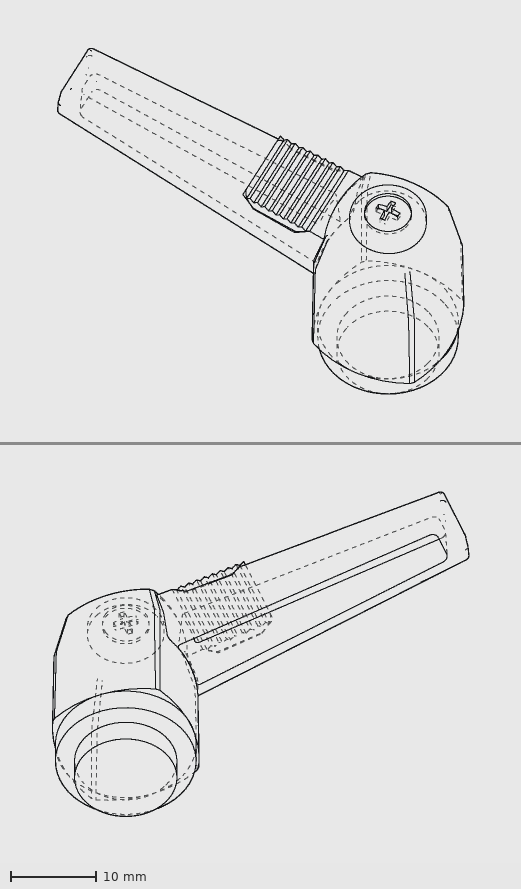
import cadquery as cq
import math

spigot_diameter = 12.0
spigot_height = 3.0
collar_diameter = 16.5
collar_height = 3.0
body_bottom = spigot_height + collar_height

parting_height = 19.35
parting_slope = math.tan(math.radians(12.15))
body_top_height = 25.87
body_top_slope = math.tan(math.radians(2.0))
lever_top_height = 23.96
lever_top_slope = math.tan(math.radians(9.5))
lever_bottom_height = 14.94
lever_bottom_slope = math.tan(math.radians(14.3))

body_top_fillet = 0.5

cap_diameter = 9.0
cap_edge_height = 27.3
cap_edge_fillet = 0.4
cap_crown_height = 27.8
screw_diameter = 5.5
screw_seat_depth = 0.5
screw_top = 28.45
cross_length = 2.8
cross_width = 0.6
cross_depth = 1.0

tip_bottom_x = -41.945
tip_lean = math.tan(math.radians(7.3))
lever_root_x = -4.0
lever_half_width = 5.88
lever_taper = 0.0444
upper_draft = math.tan(math.radians(7.5))
lower_draft = math.tan(math.radians(8.5))
lever_top_fillet = 1.0
lever_corner_fillet = 0.5
lever_bottom_fillet = 0.65

channel_start_x = -39.8
channel_roof_depth = 1.85
channel_half_width = 3.57
channel_taper = 0.0346
channel_draft = math.tan(math.radians(7.7))
channel_tip_fillet = 0.8
channel_end_fillet = 0.4
channel_end_reach = 8.05
channel_end_bow_radius = 14.2

grip_start_x = -16.67
grip_end_x = -7.76
grip_floor_start_x = -15.25
grip_floor_end_x = -9.65
grip_depth = 1.6
grip_half_width = 5.1
grip_taper = 0.018
tooth_count = 8
tooth_pitch = 0.985
tooth_height = 0.45
first_valley_x = -16.2


def parting_z(x):
    return parting_height - parting_slope * x


def body_top_z(x):
    return body_top_height - body_top_slope * x


def lever_top_z(x):
    return lever_top_height - lever_top_slope * x


def lever_bottom_z(x):
    return lever_bottom_height - lever_bottom_slope * x


def base():
    spigot = cq.Workplane("XY").circle(spigot_diameter / 2).extrude(body_bottom)
    collar = (
        cq.Workplane("XY")
        .workplane(offset=spigot_height)
        .circle(collar_diameter / 2)
        .extrude(collar_height)
    )
    return spigot.union(collar)


def body_outline(left, right, side, corner_long, corner_short, height):
    """Closed outline of four bowed sides joined by short corner flats.

    left, right and side are the reaches of the bowed sides at mid-span. Each corner runs from
    (corner_short, corner_long) to (corner_long, corner_short).
    """

    def point(x, y):
        return cq.Vector(x, y, height(x))

    def bow(start, middle, end):
        return cq.Edge.makeThreePointArc(point(*start), point(*middle), point(*end))

    def flat(start, end):
        return cq.Edge.makeLine(point(*start), point(*end))

    a, b = corner_long, corner_short
    edges = [
        bow((a, -b), (right, 0), (a, b)),
        flat((a, b), (b, a)),
        bow((b, a), (0, side), (-b, a)),
        flat((-b, a), (-a, b)),
        bow((-a, b), (-left, 0), (-a, -b)),
        flat((-a, -b), (-b, -a)),
        bow((-b, -a), (0, -side), (b, -a)),
        flat((b, -a), (a, -b)),
    ]
    return cq.Wire.assembleEdges(edges)


def body():
    outlines = [
        body_outline(8.2, 8.12, 8.25, 6.75, 6.35, lambda x: body_bottom),
        body_outline(7.95, 7.87, 8.22, 6.66, 6.15, parting_z),
        body_outline(6.45, 6.62, 6.53, 5.5, 5.05, body_top_z),
    ]
    solid = cq.Workplane(cq.Solid.makeLoft(outlines, True))
    return solid.faces(">Z").edges().fillet(body_top_fillet)


def cap():
    radius = cap_diameter / 2
    screw_radius = screw_diameter / 2
    crown = (
        cq.Workplane("XZ")
        .moveTo(0, parting_height)
        .lineTo(radius, parting_height)
        .lineTo(radius, cap_edge_height)
        .lineTo(screw_radius, cap_crown_height)
        .lineTo(0, cap_crown_height)
        .close()
        .revolve(360, (0, 0, 0), (0, 1, 0))
    )
    rim = cq.selectors.NearestToPointSelector((0, 0, cap_edge_height))
    crown = crown.edges(rim).fillet(cap_edge_fillet)

    seat_z = cap_crown_height - screw_seat_depth
    rise = screw_top - seat_z
    sphere_radius = (screw_radius**2 + rise**2) / (2 * rise)
    dome = cq.Workplane("XY").sphere(sphere_radius).translate((0, 0, screw_top - sphere_radius))
    seat = cq.Workplane("XY").workplane(offset=seat_z).circle(screw_radius).extrude(rise)
    return crown.cut(seat).union(dome.intersect(seat))


def cross_recess():
    floor = cq.Workplane("XY").workplane(offset=screw_top - cross_depth)
    arm = floor.rect(cross_length, cross_width).extrude(cross_depth)
    return arm.union(floor.rect(cross_width, cross_length).extrude(cross_depth))


def tip_x_on(plane_height, plane_slope):
    """X where the leaning tip face meets a plane of the given height and slope."""
    tip_bottom_z = lever_bottom_z(tip_bottom_x)
    rise = plane_height - plane_slope * tip_bottom_x - tip_bottom_z
    return tip_bottom_x + tip_lean * rise / (1 + tip_lean * plane_slope)


def side_y(x, z):
    """Half width of the lever at (x, z)."""
    above = z - parting_z(x)
    inset = upper_draft * above if above > 0 else -lower_draft * above
    return lever_half_width + lever_taper * x - inset


def mirrored_wire(half_points):
    """Closed polygon from the points on the -Y side followed by their mirror images."""
    mirror = [(x, -y, z) for x, y, z in reversed(half_points)]
    return cq.Wire.makePolygon([cq.Vector(*p) for p in half_points + mirror], close=True)


def lever_half(tip_edge_x, outer_z, outer_fillet):
    """Sharp and rounded forms of the lever between the parting plane and its top or bottom plane.

    tip_edge_x is where the tip face meets that outer plane, and outer_z gives the plane's height.
    """
    tip_parting_x = tip_x_on(parting_height, parting_slope)

    def section(parting_x, outer_x):
        corners = [(parting_x, parting_z(parting_x)), (outer_x, outer_z(outer_x))]
        return mirrored_wire([(x, -side_y(x, z), z) for x, z in corners])

    tip = section(tip_parting_x, tip_edge_x)
    root = section(lever_root_x, lever_root_x)
    sharp = cq.Workplane(cq.Solid.makeLoft([tip, root], True))

    long_x = (tip_edge_x + lever_root_x) / 2
    outer_spots = mirrored_spots(long_x, outer_z(long_x)) + [(tip_edge_x, 0, outer_z(tip_edge_x))]

    corner_x = (3 * tip_parting_x + tip_edge_x) / 4
    corner_z = (3 * parting_z(tip_parting_x) + outer_z(tip_edge_x)) / 4
    corner_spots = mirrored_spots(corner_x, corner_z)

    rounded = sharp
    fillets = [(outer_fillet, outer_spots), (lever_corner_fillet, corner_spots)]
    for radius, spots in sorted(fillets, reverse=True):
        rounded = edges_near(rounded, spots).fillet(radius)
    return sharp, rounded


def mirrored_spots(x, z):
    """Points on both sides of the lever at (x, z)."""
    return [(x, side * side_y(x, z), z) for side in (-1, 1)]


def edges_near(solid, spots):
    """The edges of solid whose centres are nearest to the given spots."""
    picked = [solid.edges(cq.selectors.NearestToPointSelector(spot)).val() for spot in spots]
    return cq.Workplane(solid.val()).newObject(picked)


def grip_outline():
    """Trapezoid of the grip in the XZ plane, its top edge on the lever top."""
    return [
        (grip_start_x, lever_top_z(grip_start_x)),
        (grip_floor_start_x, lever_top_z(grip_floor_start_x) - grip_depth),
        (grip_floor_end_x, lever_top_z(grip_floor_end_x) - grip_depth),
        (grip_end_x, lever_top_z(grip_end_x)),
    ]


def grip_block():
    """Toothed block filling the grip trapezoid, with upright tapering sides."""
    start, floor_start, floor_end, end = grip_outline()
    points = [start, floor_start, floor_end, end]
    for index in reversed(range(tooth_count + 1)):
        valley_x = first_valley_x + index * tooth_pitch
        points.append((valley_x, lever_top_z(valley_x) - tooth_height))
        if index > 0:
            crest_x = valley_x - tooth_pitch / 2
            points.append((crest_x, lever_top_z(crest_x)))
    profile = cq.Workplane("XZ").polyline(points).close().extrude(grip_half_width, both=True)

    def edge_y(x):
        return grip_half_width + grip_taper * x

    plan = [
        (grip_start_x, -edge_y(grip_start_x)),
        (grip_end_x, -edge_y(grip_end_x)),
        (grip_end_x, edge_y(grip_end_x)),
        (grip_start_x, edge_y(grip_start_x)),
    ]
    sides = cq.Workplane("XY").polyline(plan).close().extrude(lever_top_z(tip_bottom_x))
    return profile.intersect(sides)


def channel():
    """Drafted groove, narrowing upward, open at the lever underside."""

    def section(x):
        rim_z = lever_bottom_z(x)
        roof_z = lever_top_z(x) - channel_roof_depth
        rim_y = channel_half_width + channel_taper * x
        roof_y = rim_y - channel_draft * (roof_z - rim_z)
        open_z = rim_z - 1.0
        open_y = rim_y + channel_draft
        return mirrored_wire([(x, -open_y, open_z), (x, -roof_y, roof_z)])

    groove = cq.Workplane(cq.Solid.makeLoft([section(channel_start_x), section(lever_root_x)], True))
    end_wall = (
        cq.Workplane("XY")
        .center(channel_end_bow_radius - channel_end_reach, 0)
        .circle(channel_end_bow_radius)
        .extrude(body_top_height)
    )
    groove = groove.cut(end_wall)

    def wall_middles(x):
        rim_z = lever_bottom_z(x)
        rim_y = channel_half_width + channel_taper * x
        return [(x, -rim_y, rim_z), (x, rim_y, rim_z)]

    end_corner_x = -channel_end_reach + channel_half_width**2 / (2 * channel_end_bow_radius)
    groove = edges_near(groove, wall_middles(channel_start_x)).fillet(channel_tip_fillet)
    return edges_near(groove, wall_middles(end_corner_x)).fillet(channel_end_fillet)


def lever():
    tip_top_x = tip_x_on(lever_top_height, lever_top_slope)
    sharp_upper, upper = lever_half(tip_top_x, lever_top_z, lever_top_fillet)
    lower = lever_half(tip_bottom_x, lever_bottom_z, lever_bottom_fillet)[1]

    width = 2 * lever_half_width
    neck_floor = lever_top_z(lever_root_x) - grip_depth
    neck = (
        cq.Workplane("XY")
        .box(lever_root_x - grip_floor_end_x, width, 2 * grip_depth, centered=(False, True, False))
        .translate((grip_floor_end_x, 0, neck_floor))
    )
    bar = upper.union(sharp_upper.intersect(neck)).union(lower)
    grip_space = cq.Workplane("XZ").polyline(grip_outline()).close().extrude(width, both=True)
    return bar.cut(grip_space).cut(channel()).union(grip_block())


result = base().union(body()).union(lever()).union(cap()).cut(cross_recess())